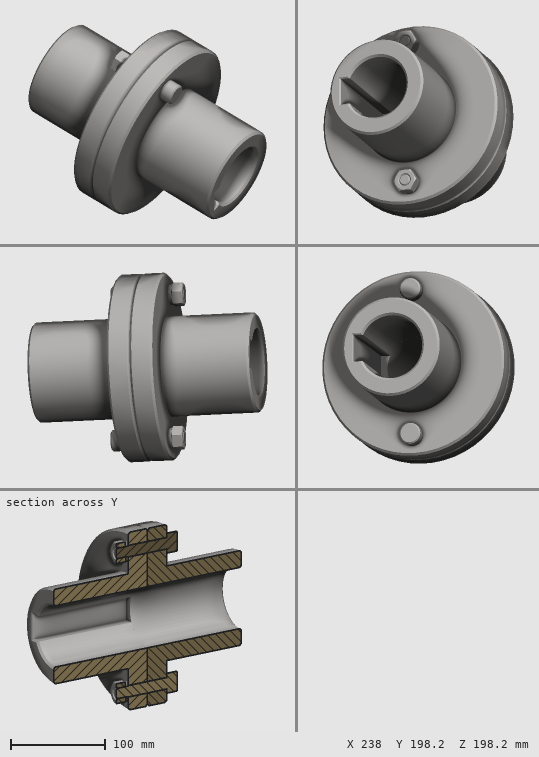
import cadquery as cq
import math


hub_length = 119.0
hub_diameter = 106.0
flange_diameter = 198.2
flange_thickness = 24.5
edge_chamfer = 2.4
root_fillet = 0.7
bore_diameter = 67.5
keyway_width = 28.3
keyway_depth_from_axis = 40.7
keyway_chamfer = 1.5

bolt_circle_radius = 77.8
bolt_angles = [0, 180]
bolt_diameter = 12.1
bolt_tip_chamfer = 1.2
head_diameter = 22.5
head_length = 13.5
head_chamfer = 1.5

washer_diameter = 22.0
washer_thickness = 3.0
split_width = 2.9
split_tilt = 22.0

nut_across_flats = 22.5
nut_thickness = 12.0
nut_face_diameter = 21.7
nut_chamfer_angle = 30.0
countersink_diameter = 14.5

washer_seat_x = -flange_thickness
nut_seat_x = washer_seat_x - washer_thickness
nut_face_x = nut_seat_x - nut_thickness


def cylinder(start_x, length, diameter):
    """Cylinder on the X axis, running from start_x towards +X."""
    return cq.Workplane("YZ", origin=(start_x, 0, 0)).circle(diameter / 2).extrude(length)


def cone(start_x, length, start_diameter, end_diameter):
    """Truncated cone on the X axis, running from start_x towards +X."""
    return cq.Workplane("XY").add(
        cq.Solid.makeCone(
            start_diameter / 2, end_diameter / 2, length, cq.Vector(start_x, 0, 0), cq.Vector(1, 0, 0)
        )
    )


def at_bolt(body, angle):
    """Place a body built on the X axis at one position on the bolt circle."""
    turn = math.radians(angle)
    return body.translate((0, bolt_circle_radius * math.sin(turn), bolt_circle_radius * math.cos(turn)))


def make_keyway():
    """Rectangular keyway on the +Y side with a flared mouth at the outer end of the hub."""
    slot = cq.Workplane("XY").box(
        hub_length, keyway_depth_from_axis, keyway_width, centered=(False, False, True)
    ).translate((-hub_length, 0, 0))
    mouth_depth = keyway_depth_from_axis + keyway_chamfer
    mouth_width = keyway_width + 2 * keyway_chamfer
    mouth = (
        cq.Workplane("YZ", origin=(-hub_length, 0, 0))
        .rect(2 * mouth_depth, mouth_width)
        .workplane(offset=keyway_chamfer)
        .rect(2 * keyway_depth_from_axis, keyway_width)
        .loft(ruled=True)
    )
    plus_y_side = cq.Workplane("XY").box(
        2 * hub_length, mouth_depth, mouth_width, centered=(True, False, True)
    )
    return slot.union(mouth.intersect(plus_y_side))


def make_hub():
    """Hub on the -X side of the joint, with its flange against the plane X = 0."""
    barrel = cylinder(-hub_length, hub_length, hub_diameter).faces("<X").chamfer(edge_chamfer)
    flange = cylinder(-flange_thickness, flange_thickness, flange_diameter).edges().chamfer(edge_chamfer)
    hub = barrel.union(flange)
    root_edge = cq.selectors.BoxSelector(
        (-flange_thickness - root_fillet, -hub_diameter, -hub_diameter),
        (-flange_thickness + root_fillet, hub_diameter, hub_diameter),
        boundingbox=True,
    )
    hub = hub.edges(root_edge).edges(cq.selectors.RadiusNthSelector(0)).fillet(root_fillet)
    hub = hub.cut(cylinder(-hub_length, hub_length, bore_diameter))
    hub = hub.cut(cone(-hub_length, edge_chamfer, bore_diameter + 2 * edge_chamfer, bore_diameter))
    hub = hub.cut(make_keyway())
    for angle in bolt_angles:
        hub = hub.cut(at_bolt(cylinder(-hub_length, hub_length, bolt_diameter), angle))
    return hub


def make_bolt():
    """Cylindrical-head bolt: head on the +X flange, tip flush with the outer nut face."""
    shank = cylinder(nut_face_x, flange_thickness - nut_face_x, bolt_diameter)
    shank = shank.faces("<X").chamfer(bolt_tip_chamfer)
    head = cylinder(flange_thickness, head_length, head_diameter).faces(">X").chamfer(head_chamfer)
    return shank.union(head)


def make_washer():
    """Spring washer, split on its +Z side by a tilted gap."""
    ring = cylinder(nut_seat_x, washer_thickness, washer_diameter)
    ring = ring.cut(cylinder(nut_seat_x, washer_thickness, bolt_diameter))
    split = (
        cq.Workplane("XY")
        .box(washer_diameter, split_width, washer_diameter, centered=(True, True, False))
        .rotate((0, 0, 0), (0, 0, 1), split_tilt)
        .translate((nut_seat_x + washer_thickness / 2, 0, 0))
    )
    return ring.cut(split)


def make_nut():
    """Hexagon nut with two flats facing +Z and -Z, corners chamfered at both ends."""
    across_corners = nut_across_flats / math.cos(math.pi / 6)
    corner_height = (across_corners - nut_face_diameter) / 2 * math.tan(math.radians(nut_chamfer_angle))
    nut = cq.Workplane("YZ", origin=(nut_face_x, 0, 0)).polygon(6, across_corners).extrude(nut_thickness)
    envelope = (
        cylinder(nut_face_x + corner_height, nut_thickness - 2 * corner_height, across_corners)
        .union(cone(nut_face_x, corner_height, nut_face_diameter, across_corners))
        .union(cone(nut_seat_x - corner_height, corner_height, across_corners, nut_face_diameter))
    )
    nut = nut.intersect(envelope)
    nut = nut.cut(cylinder(nut_face_x, nut_thickness, bolt_diameter))
    countersink_depth = (countersink_diameter - bolt_diameter) / 2
    return nut.cut(cone(nut_face_x, countersink_depth, countersink_diameter, bolt_diameter))


left_hub = make_hub()
right_hub = make_hub().rotate((0, 0, 0), (0, 0, 1), 180)

bolts = [at_bolt(make_bolt(), angle) for angle in bolt_angles]
washers = [at_bolt(make_washer(), angle) for angle in bolt_angles]
nuts = [at_bolt(make_nut(), angle) for angle in bolt_angles]

fasteners = [body.val() for body in bolts + washers + nuts]
result = cq.Compound.makeCompound([left_hub.val(), right_hub.val(), *fasteners])